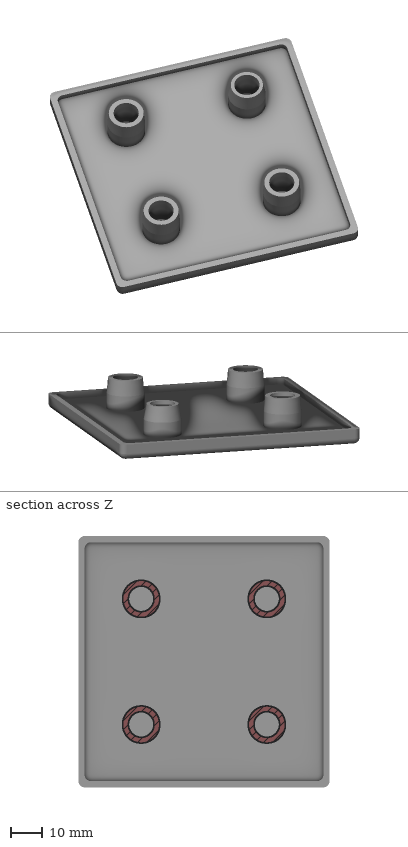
import cadquery as cq

side = 80.0
tray_height = 5.0
wall = 2.0
floor = 3.0
corner_radius = 2.0
pocket_corner_radius = 2.0
bottom_edge_radius = 1.9

total_height = 13.0
peg_spacing = 40.0
peg_diameter = 12.0
peg_tip_diameter = 11.1
narrow_tip_diameter = 10.2
peg_bore_diameter = 8.0
taper_height = 5.0


def make_tray():
    """Shallow square tray with rounded corners and a rounded bottom edge."""
    block = cq.Workplane("XY").rect(side, side).extrude(tray_height)
    block = block.edges("|Z").fillet(corner_radius)
    block = block.faces("<Z").edges().fillet(bottom_edge_radius)
    pocket_side = side - 2 * wall
    pocket = (
        cq.Workplane("XY", origin=(0, 0, floor))
        .rect(pocket_side, pocket_side)
        .extrude(tray_height - floor)
        .edges("|Z")
        .fillet(pocket_corner_radius)
    )
    return block.cut(pocket)


def make_peg(tip_diameter):
    """Peg on the Z axis: straight base, tapered tip and a bore down to the floor."""
    bore_radius = peg_bore_diameter / 2
    outer_radius = peg_diameter / 2
    profile = [
        (bore_radius, floor),
        (outer_radius, floor),
        (outer_radius, total_height - taper_height),
        (tip_diameter / 2, total_height),
        (bore_radius, total_height),
    ]
    return cq.Workplane("XZ").polyline(profile).close().revolve(360, (0, 0), (0, 1))


result = make_tray()
offset = peg_spacing / 2
pegs = [
    (-offset, -offset, peg_tip_diameter),
    (offset, -offset, peg_tip_diameter),
    (offset, offset, peg_tip_diameter),
    (-offset, offset, narrow_tip_diameter),
]
for x, y, tip_diameter in pegs:
    result = result.union(make_peg(tip_diameter).translate((x, y, 0)))